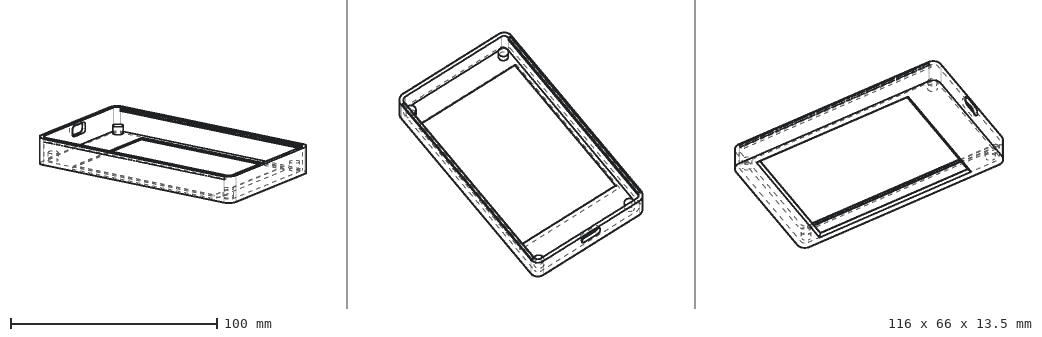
import cadquery as cq

length = 116.0
width = 66.0
height = 13.5
corner_radius = 4.3
wall = 2.0
floor_thickness = 1.5

window_left = -38.5
window_right = 44.9
window_front = -28.8
window_back = 28.0
window_land = 0.2
window_bevel = floor_thickness - window_land

pin_diameter = 5.0
pin_height = 4.0
pin_x = 52.2
pin_y = 27.1
offset_pin_y = 28.2
pin_centers = [
    (-pin_x, -pin_y),
    (pin_x, -pin_y),
    (-pin_x, pin_y),
    (pin_x, offset_pin_y),
]

port_width = 10.8
port_height = 5.3
port_radius = 1.7
port_bottom = 6.8

groove_depth = 1.4
groove_height = 1.4
groove_lip = 0.5

inner_length = length - 2 * wall
inner_width = width - 2 * wall
inner_radius = corner_radius - wall


def rounded_block(x_size, y_size, z_size, radius):
    """Block standing on Z = 0 with rounded vertical edges."""
    block = cq.Workplane("XY").box(x_size, y_size, z_size, centered=(True, True, False))
    return block.edges("|Z").fillet(radius)


def make_tray():
    cavity = rounded_block(inner_length, inner_width, height, inner_radius)
    shell = rounded_block(length, width, height, corner_radius)
    return shell.cut(cavity.translate((0, 0, floor_thickness)))


def make_window():
    """Straight opening plus the bevel that widens it toward the underside."""
    x_size = window_right - window_left
    y_size = window_back - window_front
    window_center = ((window_left + window_right) / 2, (window_front + window_back) / 2)
    base = cq.Workplane("XY").center(*window_center)
    opening = base.rect(x_size, y_size).extrude(floor_thickness)
    bevel = (
        base.rect(x_size + 2 * window_bevel, y_size + 2 * window_bevel)
        .workplane(offset=window_bevel)
        .rect(x_size, y_size)
        .loft(ruled=True)
    )
    return opening.union(bevel)


def make_pins():
    floor = cq.Workplane("XY").workplane(offset=floor_thickness)
    return floor.pushPoints(pin_centers).circle(pin_diameter / 2).extrude(pin_height)


def make_port():
    port = cq.Workplane("XY").box(2 * wall, port_width, port_height)
    port = port.edges("|X").fillet(port_radius)
    return port.translate((-length / 2, 0, port_bottom + port_height / 2))


def make_grooves():
    """One bar across the cavity that cuts both long walls between the corners."""
    groove_length = inner_length - 2 * inner_radius
    bar = cq.Workplane("XY").box(groove_length, inner_width + 2 * groove_depth, groove_height)
    return bar.translate((0, 0, height - groove_lip - groove_height / 2))


result = make_tray().cut(make_window()).union(make_pins()).cut(make_port()).cut(make_grooves())